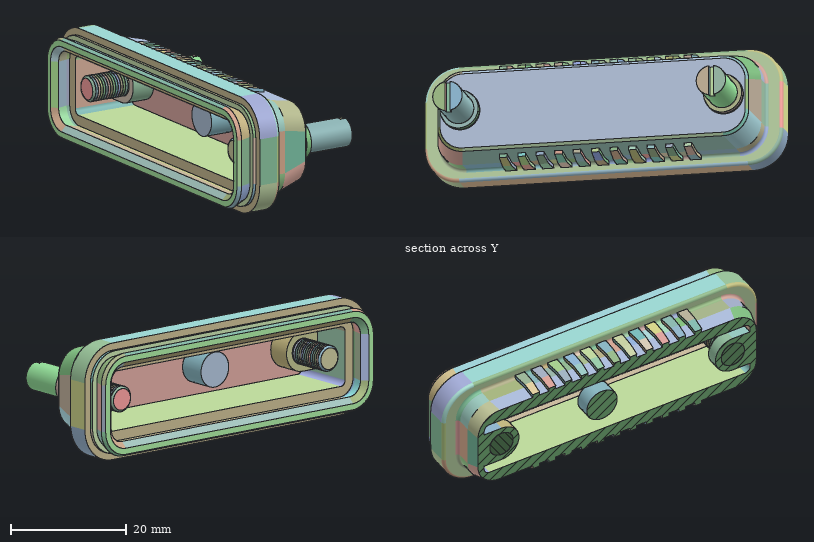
import cadquery as cq
import math


length = 64.0
height = 20.85
flange_radius = 6.3
corner_x = length / 2 - flange_radius
corner_z = height / 2 - flange_radius

seal_edge_y = 0.7
seal_throat_y = 1.0
seal_foot_y = 3.1
flange_front_y = 3.65
flange_back_y = 7.9
shoulder_y = 10.95
bevel_y = 15.9
hood_back_y = 16.3
boss_back_y = 16.7
washer_back_y = 17.65
screw_back_y = 26.6

seal_lip_radius = 5.0
seal_front_radius = 4.6
seal_neck_radius = 4.05
seal_mouth_radius = 3.5
seal_throat_radius = 2.5
seal_inner_foot_radius = 3.0

hood_half_x = 28.9
hood_half_z = 8.3
hood_taper = 1.15
hood_corner_radius = 4.5
edge_fillet = 0.6
bevel_inset = 0.5

cavity_half_x = 26.95
cavity_half_z = 5.3
cavity_corner_radius = 0.95
floor_y = 15.35

pad_radius = 3.6
pad_front_y = 11.1
stud_x = 3.1
stud_radius = 3.15
stud_front_y = 10.4

rib_count = 11
rib_span = 32.95
rib_pitch = rib_span / (rib_count - 1)
rib_height = 0.65
rib_end_y = 14.15
rib_tip_width = 1.35
rib_root_width = 2.0

screw_xs = (-23.5, 23.5)
boss_radius = 3.4
shank_radius = 2.6
thread_radius = 2.3
thread_tip_y = 3.8
thread_pitch = 0.5
thread_depth = 0.3
tip_chamfer = 0.4
slot_width = 0.9
slot_depth = 1.1


def plane_at(y):
    """Workplane across Y whose local axes are X and Z."""
    return cq.Workplane("XZ", origin=(0, y, 0))


def rounded_rectangle(half_x, half_z, radius):
    sketch = cq.Sketch().rect(2 * half_x, 2 * half_z)
    return sketch.vertices().fillet(radius)


def rim_outline(radius):
    """Outline around the shared corner centres."""
    return rounded_rectangle(corner_x + radius, corner_z + radius, radius)


def hood_outline(inset, radius):
    return rounded_rectangle(hood_half_x - inset, hood_half_z - inset, radius)


def prism(outline, start_y, end_y):
    return plane_at(start_y).placeSketch(outline).extrude(start_y - end_y)


def ruled_loft(start_outline, start_y, end_outline, end_y):
    step = cq.Location(cq.Vector(0, 0, start_y - end_y))
    sections = plane_at(start_y).placeSketch(start_outline, end_outline.moved(step))
    return sections.loft(ruled=True)


def rod(x, radius, start_y, end_y):
    return plane_at(start_y).center(x, 0).circle(radius).extrude(start_y - end_y)


def make_seal():
    """Flat foot with a lip that flares outward toward the front."""
    lip = ruled_loft(rim_outline(seal_front_radius), 0, rim_outline(seal_lip_radius), seal_edge_y)
    neck = ruled_loft(
        rim_outline(seal_lip_radius), seal_edge_y, rim_outline(seal_neck_radius), seal_foot_y
    )
    foot = prism(rim_outline(seal_lip_radius), seal_foot_y, flange_front_y)
    mouth = ruled_loft(
        rim_outline(seal_mouth_radius), 0, rim_outline(seal_throat_radius), seal_throat_y
    )
    undercut = ruled_loft(
        rim_outline(seal_throat_radius), seal_throat_y, rim_outline(seal_inner_foot_radius), seal_foot_y
    )
    foot_opening = prism(rim_outline(seal_inner_foot_radius), seal_foot_y, flange_front_y)
    return lip.union(neck).union(foot).cut(mouth).cut(undercut).cut(foot_opening)


def make_hood_shell():
    """Flange, straight neck and tapered back, all solid."""
    flange = prism(rim_outline(flange_radius), flange_front_y, flange_back_y)
    flange = flange.faces(">Y").edges().fillet(edge_fillet)
    wide = hood_outline(0, hood_corner_radius)
    narrow = hood_outline(hood_taper, hood_corner_radius)
    rear = hood_outline(hood_taper + bevel_inset, hood_corner_radius - bevel_inset)
    back = ruled_loft(wide, shoulder_y, narrow, bevel_y)
    bevel = ruled_loft(narrow, bevel_y, rear, hood_back_y)
    neck = prism(wide, flange_back_y, shoulder_y)
    shell = flange.union(neck).union(back).union(bevel)
    margin = edge_fillet / 2
    neck_root = cq.selectors.BoxSelector(
        (-hood_half_x - margin, flange_back_y - margin, -hood_half_z - margin),
        (hood_half_x + margin, flange_back_y + margin, hood_half_z + margin),
    )
    return shell.edges(neck_root).fillet(edge_fillet)


def make_ribs():
    """Flared ribs that follow the hood's side profile, a rib height outside it."""
    rise = rib_height + hood_half_z
    slope = hood_taper / (bevel_y - shoulder_y)
    end_rise = rise - slope * (rib_end_y - shoulder_y)
    band = (
        cq.Workplane("YZ")
        .polyline(
            [
                (flange_back_y, -rise),
                (shoulder_y, -rise),
                (rib_end_y, -end_rise),
                (rib_end_y, end_rise),
                (shoulder_y, rise),
                (flange_back_y, rise),
            ]
        )
        .close()
        .extrude(length / 2, both=True)
    )
    first_x = -rib_span / 2
    bars = [make_rib_bar(first_x + i * rib_pitch).val() for i in range(rib_count)]
    return band.intersect(cq.Compound.makeCompound(bars))


def make_rib_bar(x):
    """Upright bar through the whole height, narrowing from the flange toward the back."""
    root = rib_root_width / 2
    tip = rib_tip_width / 2
    return (
        cq.Workplane("XY")
        .polyline(
            [
                (x - root, flange_back_y),
                (x + root, flange_back_y),
                (x + tip, rib_end_y),
                (x - tip, rib_end_y),
            ]
        )
        .close()
        .extrude(height / 2, both=True)
    )


def make_pad(x):
    """Screw pad: round toward the middle, straight out to the end wall."""
    wall_x = math.copysign(cavity_half_x, x)
    web = (
        plane_at(pad_front_y)
        .center((x + wall_x) / 2, 0)
        .rect(abs(wall_x - x), 2 * pad_radius)
        .extrude(pad_front_y - floor_y)
    )
    return rod(x, pad_radius, pad_front_y, floor_y).union(web)


def make_housing():
    housing = make_hood_shell().union(make_ribs())
    cavity_outline = rounded_rectangle(cavity_half_x, cavity_half_z, cavity_corner_radius)
    housing = housing.cut(prism(cavity_outline, flange_front_y, floor_y))
    housing = housing.union(rod(stud_x, stud_radius, stud_front_y, floor_y))
    for x in screw_xs:
        housing = housing.union(make_pad(x))
        housing = housing.union(rod(x, boss_radius, floor_y, boss_back_y))
        housing = housing.cut(rod(x, thread_radius, pad_front_y, boss_back_y))
    return housing


def make_washer(x):
    disc = rod(x, boss_radius, boss_back_y, washer_back_y)
    return disc.cut(rod(x, thread_radius, boss_back_y, washer_back_y))


def make_screw(x):
    """Slotted knob with a thinner threaded stem; ring grooves stand for the thread."""
    groove_space = pad_front_y - thread_tip_y - tip_chamfer
    groove_count = int(groove_space / thread_pitch)
    root_radius = thread_radius - thread_depth
    outline = [(0, thread_tip_y), (thread_radius - tip_chamfer, thread_tip_y)]
    for i in range(groove_count):
        crest_y = thread_tip_y + tip_chamfer + i * thread_pitch
        outline.append((thread_radius, crest_y))
        outline.append((root_radius, crest_y + thread_pitch / 2))
    outline += [
        (thread_radius, thread_tip_y + tip_chamfer + groove_count * thread_pitch),
        (thread_radius, washer_back_y),
        (shank_radius, washer_back_y),
        (shank_radius, screw_back_y),
        (0, screw_back_y),
    ]
    screw = cq.Workplane("XY").polyline(outline).close().revolve(360, (0, 0), (0, 1))
    slot = cq.Workplane("XY").box(slot_width, 2 * slot_depth, 2 * shank_radius)
    screw = screw.cut(slot.translate((0, screw_back_y, 0)))
    return screw.translate((x, 0, 0))


housing = make_housing()
seal = make_seal()
washers = [make_washer(x) for x in screw_xs]
screws = [make_screw(x) for x in screw_xs]

result = cq.Compound.makeCompound(
    [housing.val(), seal.val(), *[w.val() for w in washers], *[s.val() for s in screws]]
)